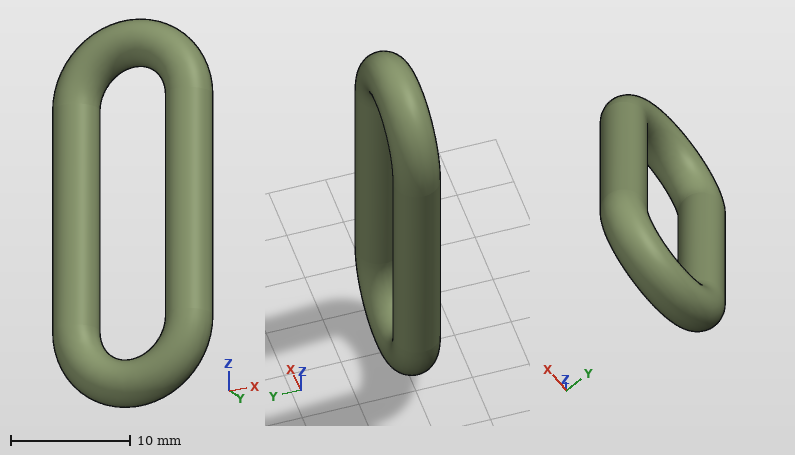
import cadquery as cq

wire_diameter = 4.0
link_width = 14.5
link_length = 34.0

bend_radius = (link_width - wire_diameter) / 2
leg_half_length = (link_length - link_width) / 2
crown_height = leg_half_length + bend_radius


def link_centreline():
    """Closed loop in the XZ plane, starting at the foot of the +X leg."""
    return (
        cq.Workplane("XZ")
        .moveTo(bend_radius, -leg_half_length)
        .lineTo(bend_radius, leg_half_length)
        .threePointArc((0, crown_height), (-bend_radius, leg_half_length))
        .lineTo(-bend_radius, -leg_half_length)
        .threePointArc((0, -crown_height), (bend_radius, -leg_half_length))
        .wire()
    )


def wire_section():
    """Round wire section at the foot of the +X leg, square to the centreline."""
    return (
        cq.Workplane("XY")
        .workplane(offset=-leg_half_length)
        .center(bend_radius, 0)
        .circle(wire_diameter / 2)
    )


result = wire_section().sweep(link_centreline())